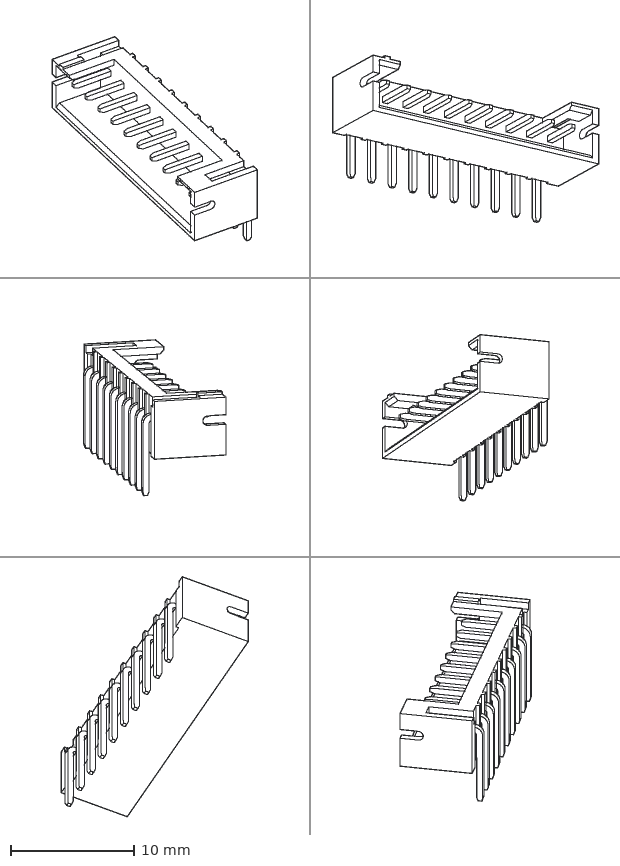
import cadquery as cq
import math

length = 21.9
depth = 6.0
height = 4.82

side_wall = 0.61
floor_thickness = 0.72
ceiling_thickness = 0.6
cavity_depth = 4.27
mouth_chamfer = 0.33

tab_end = 2.65

roof_slot_width = 1.05
roof_slot_front = 2.04

notch_depth = 1.93
notch_height = 0.79
notch_center_z = 2.95

key_width = 0.53
key_height = 0.2

pin_count = 10
pin_row_length = 18.0
pin_size = 0.5
pin_center_z = 3.1
pin_front = 0.77
pin_drop = 3.4
bend_inner_radius = 0.25
tip_size = 0.3
contact_tip_length = 0.4
solder_tip_length = 0.33

groove_width = 1.58
groove_depth = 0.26

half_length = length / 2
inner_half_length = half_length - side_wall
pin_pitch = pin_row_length / (pin_count - 1)
pin_positions = [i * pin_pitch - pin_row_length / 2 for i in range(pin_count)]


def box(x_range, y_range, z_range):
    """Axis-aligned box between the given limits."""
    (x0, x1), (y0, y1), (z0, z1) = x_range, y_range, z_range
    return cq.Workplane("XY").box(x1 - x0, y1 - y0, z1 - z0, centered=False).translate((x0, y0, z0))


def make_cavity():
    """Plug cavity whose floor and ceiling edges are chamfered at the mouth."""
    floor_z = floor_thickness
    ceiling_z = height - ceiling_thickness
    return (
        cq.Workplane("YZ")
        .moveTo(0, floor_z - mouth_chamfer)
        .lineTo(mouth_chamfer, floor_z)
        .lineTo(cavity_depth, floor_z)
        .lineTo(cavity_depth, ceiling_z)
        .lineTo(mouth_chamfer, ceiling_z)
        .lineTo(0, ceiling_z + mouth_chamfer)
        .close()
        .extrude(inner_half_length, both=True)
    )


def make_roof_opening():
    """Large opening through the roof between the two tabs."""
    half_width = half_length - tab_end
    return box((-half_width, half_width), (0, cavity_depth), (height - ceiling_thickness, height))


def make_roof_slot():
    """Left roof slot; behind the cavity it leaves a shelf at ceiling level."""
    x_range = (-inner_half_length, -inner_half_length + roof_slot_width)
    return box(x_range, (roof_slot_front, depth), (height - ceiling_thickness, height))


def make_notches():
    """Round-ended notch cut through both end walls."""
    radius = notch_height / 2
    arc_y = notch_depth - radius
    return (
        cq.Workplane("YZ")
        .moveTo(0, notch_center_z - radius)
        .lineTo(arc_y, notch_center_z - radius)
        .threePointArc((notch_depth, notch_center_z), (arc_y, notch_center_z + radius))
        .lineTo(0, notch_center_z + radius)
        .close()
        .extrude(half_length, both=True)
    )


def make_groove(x):
    """Full-height groove in the back face behind one pin."""
    half_width = groove_width / 2
    return box((x - half_width, x + half_width), (depth - groove_depth, depth), (0, height))


def make_key():
    """Raised polarity key in line with the inner edge of the left roof slot."""
    x_end = -inner_half_length + roof_slot_width
    return box((x_end - key_width, x_end), (0, roof_slot_front), (height, height + key_height))


def make_tip(plane, tip_length):
    """Tapered square pin end, growing along the plane's normal."""
    return (
        cq.Workplane(plane)
        .rect(pin_size, pin_size)
        .workplane(offset=tip_length)
        .rect(tip_size, tip_size)
        .loft()
    )


def make_pin():
    """Right-angle pin: a contact toward the mouth and a leg down the back."""
    top_z = pin_center_z + pin_size / 2
    bottom_z = top_z - pin_size
    leg_back = depth + pin_size
    contact_start = pin_front + contact_tip_length
    leg_end = -pin_drop + solder_tip_length

    bend_outer_radius = bend_inner_radius + pin_size
    bend_y = depth - bend_inner_radius
    bend_z = bottom_z - bend_inner_radius
    inner_mid = bend_inner_radius * math.sqrt(0.5)
    outer_mid = bend_outer_radius * math.sqrt(0.5)

    bar = (
        cq.Workplane("YZ")
        .moveTo(contact_start, bottom_z)
        .lineTo(bend_y, bottom_z)
        .threePointArc((bend_y + inner_mid, bend_z + inner_mid), (depth, bend_z))
        .lineTo(depth, leg_end)
        .lineTo(leg_back, leg_end)
        .lineTo(leg_back, bend_z)
        .threePointArc((bend_y + outer_mid, bend_z + outer_mid), (bend_y, top_z))
        .lineTo(contact_start, top_z)
        .close()
        .extrude(pin_size / 2, both=True)
    )
    contact_plane = cq.Plane((0, contact_start, pin_center_z), xDir=(1, 0, 0), normal=(0, -1, 0))
    solder_plane = cq.Plane((0, depth + pin_size / 2, leg_end), xDir=(1, 0, 0), normal=(0, 0, -1))
    contact_tip = make_tip(contact_plane, contact_tip_length)
    solder_tip = make_tip(solder_plane, solder_tip_length)
    return bar.union(contact_tip).union(solder_tip)


left_slot = make_roof_slot()
housing = box((-half_length, half_length), (0, depth), (0, height))
housing = housing.cut(make_cavity()).cut(make_roof_opening()).cut(make_notches())
housing = housing.cut(left_slot).cut(left_slot.mirror("YZ"))
for pin_x in pin_positions:
    housing = housing.cut(make_groove(pin_x))

result = housing.union(make_key())
pin = make_pin()
for pin_x in pin_positions:
    result = result.union(pin.translate((pin_x, 0, 0)))